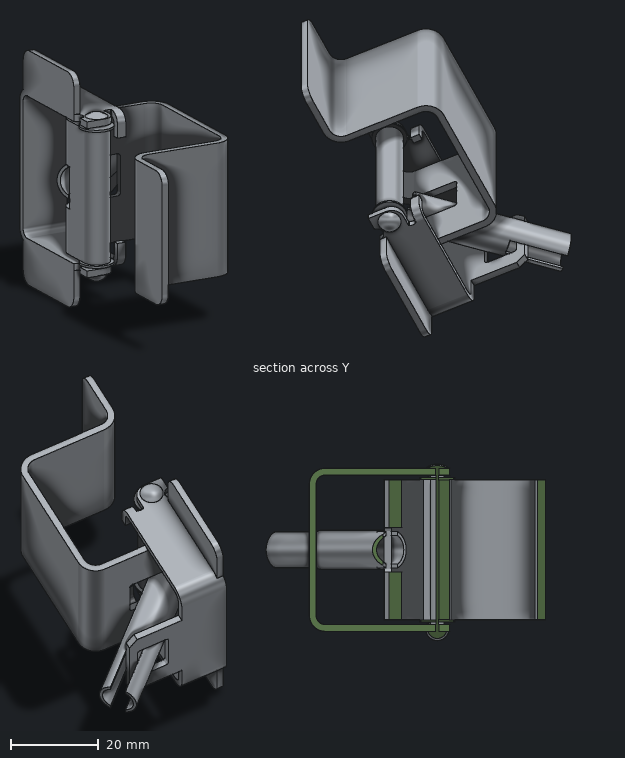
import cadquery as cq
import math


sheet = 1.6

leaf_width = 31.9
leaf_left = 26.9
leaf_right = 62.85
leaf_top = 26.9
leaf_end = 77.5
leaf_bend_outer = 4.5
leaf_bend_inner = leaf_bend_outer - sheet

pin_x = 39.0
pin_y = 4.0
shank_radius = 1.55
knuckle_radius = shank_radius + sheet
knuckle_wrap = 270
washer_radius = 4.0
washer_thickness = 0.5
hinge_gap = 1.0
head_radius = 2.6
upper_head_height = 0.9
lower_head_height = 2.1

bracket_left = 9.85
bracket_height = 11.55
bracket_bend_inner = 2.0
bracket_bend_outer = bracket_bend_inner + sheet
arm_inner = leaf_width / 2 + hinge_gap
arm_outer = arm_inner + sheet
arm_middle = arm_inner + sheet / 2
arm_end = 36.2
ear_end = 41.85
ear_height = 7.5
corner_radius = 3.0
flange_left = bracket_left + sheet
flange_right = 35.6
bracket_span = 56.0
flange_tip = bracket_span / 2
relief_radius = 1.5
stop_bottom = 9.4
stop_bend_inner = 1.3
stop_straight = 3.1
arm_slot_left = 35.95
small_radius = 0.8

tongue_half_width = 9.9
tongue_top = 25.0
tongue_chamfer = 2.0
window_half_width = 5.0
tongue_window_bottom = 14.95
tongue_window_top = 22.95

leaf_opening_end = 32.0
bridge_bottom = pin_y - knuckle_radius + leaf_bend_outer
bridge_top = 6.75
leaf_window_top = 16.0

tube_radius = 4.5
tube_bore_radius = 3.7
tube_length = 37.1
tube_slope = math.radians(46.9)
tube_top = 34.5
tube_slot_width = 3.6
upper_slot_depth = 13.8
lower_slot_depth = 3.0


def block(x_range, y_range, z_range):
    """Axis-aligned box between pairs of limits."""
    limits = (x_range, y_range, z_range)
    sizes = [high - low for low, high in limits]
    corner = tuple(low for low, high in limits)
    return cq.Workplane("XY").box(*sizes, centered=False).translate(corner)


def bent_sheet(plane, start, heading, steps):
    """Sheet outline that follows a middle line of straight lengths and bends.

    A step is ("straight", length) or ("bend", turn in degrees, inside radius);
    a positive turn is to the left.
    """
    x, y = start
    stations = [(x, y, math.radians(heading))]

    for step in steps:
        x, y, angle = stations[-1]
        if step[0] == "straight":
            end_x = x + step[1] * math.cos(angle)
            end_y = y + step[1] * math.sin(angle)
            stations.append((end_x, end_y, angle))
        else:
            turn = math.radians(step[1])
            radius = math.copysign(step[2] + sheet / 2, turn)
            center_x = x - radius * math.sin(angle)
            center_y = y + radius * math.cos(angle)
            for part in (0.5, 1.0):
                new_angle = angle + part * turn
                bend_x = center_x + radius * math.sin(new_angle)
                bend_y = center_y - radius * math.cos(new_angle)
                stations.append((bend_x, bend_y, new_angle))

    def side(offset):
        """Points beside the middle line, to the left for a positive offset."""
        return [(px - offset * math.sin(a), py + offset * math.cos(a)) for px, py, a in stations]

    def follow(outline, points, kinds):
        """Draw one side: a line for each straight length, an arc for each bend."""
        index = 1
        for kind in kinds:
            if kind == "straight":
                outline = outline.lineTo(*points[index])
                index += 1
            else:
                outline = outline.threePointArc(points[index], points[index + 1])
                index += 2
        return outline

    kinds = [step[0] for step in steps]
    left = side(sheet / 2)
    right = side(-sheet / 2)[::-1]
    outline = follow(cq.Workplane(plane).moveTo(*left[0]), left, kinds)
    outline = follow(outline.lineTo(*right[0]), right, kinds[::-1])
    return outline.close()


def both_sides(shape):
    """The shape together with its mirror image across Z = 0."""
    return shape.union(shape.mirror("XY"))



def bracket_channel():
    """Base plate with two arms, bent from one strip."""
    arm_length = arm_end - bracket_left - bracket_bend_outer
    base_length = 2 * (arm_outer - bracket_bend_outer)
    steps = [
        ("straight", arm_length),
        ("bend", -90, bracket_bend_inner),
        ("straight", base_length),
        ("bend", -90, bracket_bend_inner),
        ("straight", arm_length),
    ]
    return bent_sheet("XZ", (arm_end, -arm_middle), 180, steps).extrude(-bracket_height)


def tongue():
    """Raised middle of the base plate, with chamfered top corners."""
    x_range = (bracket_left, bracket_left + sheet)
    plate = block(x_range, (bracket_height / 2, tongue_top), (-tongue_half_width, tongue_half_width))
    return plate.edges("|X and >Y").chamfer(tongue_chamfer)


def tongue_window():
    window = block(
        (bracket_left, bracket_left + sheet),
        (tongue_window_bottom, tongue_window_top),
        (-window_half_width, window_half_width),
    )
    return window.edges("|X").fillet(small_radius)


def flange():
    plate = block((flange_left, flange_right), (0, sheet), (arm_middle, flange_tip))
    return plate.edges("|Y and >Z").fillet(corner_radius)


def ear():
    plate = block((flange_right, ear_end), (0, ear_height), (arm_inner, arm_outer))
    return plate.edges("|Z and >X and >Y").fillet(corner_radius)


def stop_tab():
    """Tab at the end of the arm, bent inward."""
    steps = [("bend", -90, stop_bend_inner), ("straight", stop_straight)]
    tab = bent_sheet("XZ", (arm_end, arm_middle), 0, steps).extrude(stop_bottom - bracket_height)
    return tab.translate((0, stop_bottom, 0))


def arm_slot():
    """Gap between the ear and the stop tab."""
    slot = block((arm_slot_left, ear_end), (ear_height, stop_bottom), (arm_inner, arm_outer))
    return slot.edges("|Z and <X").fillet(small_radius)


def arm_round_cut(x, y, radius):
    cut = cq.Workplane("XY", origin=(x, y, arm_inner)).circle(radius)
    return cut.extrude(sheet)


def make_bracket():
    body = bracket_channel().union(tongue()).cut(tongue_window())
    body = body.union(both_sides(ear()))
    body = body.cut(both_sides(arm_slot()))
    body = body.cut(both_sides(arm_round_cut(flange_right + relief_radius, 0, relief_radius)))
    body = body.cut(both_sides(arm_round_cut(pin_x, pin_y, shank_radius)))
    body = body.union(both_sides(flange()))
    return body.union(both_sides(stop_tab()))



def leaf_strip():
    """Folded strip, from its flat end to the knuckle curled around the pin."""
    leaf_front = pin_y - knuckle_radius
    bend = leaf_bend_inner
    steps = [
        ("straight", leaf_end - leaf_right + sheet - leaf_bend_outer),
        ("bend", -90, bend),
        ("straight", leaf_top - 2 * leaf_bend_outer),
        ("bend", 90, bend),
        ("straight", leaf_right - leaf_left - 2 * leaf_bend_outer),
        ("bend", 90, bend),
        ("straight", leaf_top - leaf_front - 2 * leaf_bend_outer),
        ("bend", 90, bend),
        ("straight", pin_x - leaf_left - leaf_bend_outer),
        ("bend", knuckle_wrap, shank_radius),
    ]
    strip = bent_sheet("XY", (leaf_end, sheet / 2), 180, steps)
    strip = strip.extrude(leaf_width / 2, both=True)
    return strip.edges("|Y and >X").fillet(corner_radius)


def leaf_openings():
    """Window in the leg, and a slot through the bend and into the flat below it."""
    z_range = (-window_half_width, window_half_width)
    leg = (leaf_left, leaf_left + sheet)
    window = block(leg, (bridge_top, leaf_window_top), z_range).edges("|X").fillet(small_radius)
    slot = block((leaf_left, leaf_opening_end), (0, bridge_bottom), z_range)
    slot = slot.edges("|X and >Y").fillet(small_radius)
    return window.union(slot)


def make_leaf():
    return leaf_strip().cut(leaf_openings())



def cap_middle(height):
    """Radius and height of the point halfway along the arc of a domed head."""
    sphere_radius = (head_radius ** 2 + height ** 2) / (2 * height)
    half_angle = math.asin(head_radius / sphere_radius) / 2
    drop = sphere_radius * (1 - math.cos(half_angle))
    return sphere_radius * math.sin(half_angle), height - drop


def make_pin():
    lower_x, lower_rise = cap_middle(lower_head_height)
    upper_x, upper_rise = cap_middle(upper_head_height)
    profile = (
        cq.Workplane("XZ")
        .moveTo(0, -arm_outer - lower_head_height)
        .threePointArc((lower_x, -arm_outer - lower_rise), (head_radius, -arm_outer))
        .lineTo(shank_radius, -arm_outer)
        .lineTo(shank_radius, arm_outer)
        .lineTo(head_radius, arm_outer)
        .threePointArc((upper_x, arm_outer + upper_rise), (0, arm_outer + upper_head_height))
        .close()
    )
    return profile.revolve(360, (0, 0), (0, 1)).translate((pin_x, pin_y, 0))


def make_washer(bottom):
    ring = cq.Workplane("XY", origin=(pin_x, pin_y, bottom)).circle(washer_radius).circle(shank_radius)
    return ring.extrude(washer_thickness)



def make_tube():
    """Sloping tube, slotted through at both ends to straddle the tongue and the leaf."""
    mouth = (tube_radius * math.sin(tube_slope), tube_top - tube_radius * math.cos(tube_slope), 0)
    axis = (math.cos(tube_slope), -math.sin(tube_slope), 0)
    plane = cq.Plane(origin=mouth, xDir=(0, 0, 1), normal=axis)
    body = cq.Workplane(plane).circle(tube_radius).circle(tube_bore_radius).extrude(tube_length)
    slot = cq.Workplane(plane).rect(2 * tube_radius, tube_slot_width)
    upper_slot = slot.extrude(upper_slot_depth)
    lower_plane = cq.Workplane(plane).workplane(offset=tube_length - lower_slot_depth)
    lower_slot = lower_plane.rect(2 * tube_radius, tube_slot_width).extrude(lower_slot_depth)
    return body.cut(upper_slot).cut(lower_slot)


bracket = make_bracket()
leaf = make_leaf()
pin = make_pin()
washer_bottoms = (leaf_width / 2, -leaf_width / 2 - washer_thickness)
washers = [make_washer(bottom) for bottom in washer_bottoms]
tube = make_tube()

bodies = [bracket, leaf, pin, tube, *washers]
result = cq.Compound.makeCompound([body.solids().val() for body in bodies])